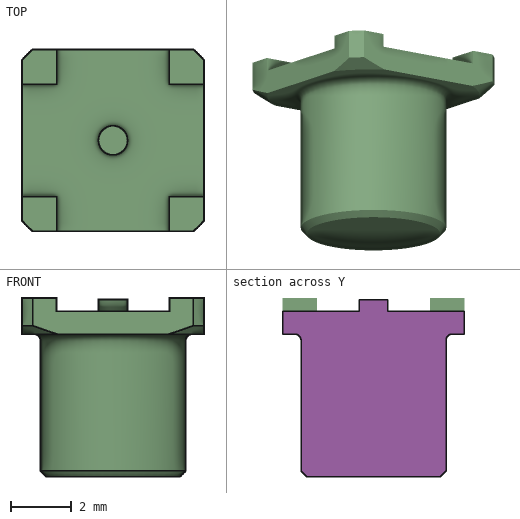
import cadquery as cq

plate_side = 6.0
total_height = 5.9

flange_height = 1.2
foot_height = 0.43
foot_side = 1.145
corner_radius = 4.0
corner_cone_radius = 3.505
corner_cone_height = 0.29

barrel_radius = 2.4
barrel_fillet = 0.2
barrel_chamfer = 0.2

pin_radius = 0.48
pin_below_feet = 0.05

flange_bottom = total_height - flange_height
plate_top = total_height - foot_height
recess_width = plate_side - 2 * foot_side


def make_flange():
    """Square block trimmed by a disc with a conical lower edge, recessed between the feet."""
    block = (
        cq.Workplane("XY", origin=(0, 0, flange_bottom))
        .rect(plate_side, plate_side)
        .extrude(flange_height)
    )
    disc = (
        cq.Workplane("XZ")
        .moveTo(0, flange_bottom)
        .lineTo(corner_cone_radius, flange_bottom)
        .lineTo(corner_radius, flange_bottom + corner_cone_height)
        .lineTo(corner_radius, total_height)
        .lineTo(0, total_height)
        .close()
        .revolve(360, (0, 0), (0, 1))
    )
    flange = block.intersect(disc)
    for size_x, size_y in ((plate_side, recess_width), (recess_width, plate_side)):
        channel = (
            cq.Workplane("XY", origin=(0, 0, plate_top))
            .rect(size_x, size_y)
            .extrude(foot_height)
        )
        flange = flange.cut(channel)
    return flange


def make_barrel():
    """Round barrel with a chamfered lower end and a concave fillet under the flange."""
    fillet_bottom = flange_bottom - barrel_fillet
    return (
        cq.Workplane("XZ")
        .lineTo(barrel_radius - barrel_chamfer, 0)
        .lineTo(barrel_radius, barrel_chamfer)
        .lineTo(barrel_radius, fillet_bottom)
        .radiusArc((barrel_radius + barrel_fillet, flange_bottom), barrel_fillet)
        .lineTo(0, flange_bottom)
        .close()
        .revolve(360, (0, 0), (0, 1))
    )


def make_pin():
    """Short round pin standing on the flange, slightly lower than the feet."""
    return (
        cq.Workplane("XY", origin=(0, 0, plate_top))
        .circle(pin_radius)
        .extrude(foot_height - pin_below_feet)
    )


result = make_flange().union(make_barrel()).union(make_pin())